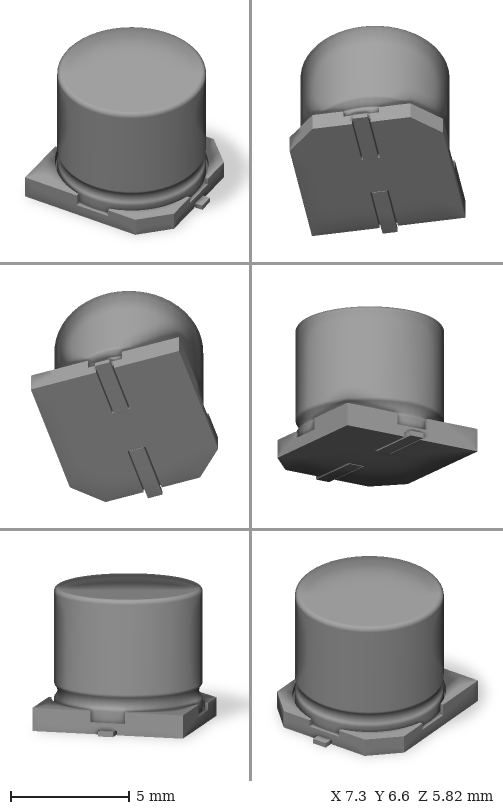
import cadquery as cq
import math


lead_span = 7.3
total_height = 5.82

base_size = 6.6
base_bottom = 0.02
base_top = 1.02
base_low_top = 0.82
corner_chamfer = 1.2
pocket_radius = 3.255
pocket_floor = 0.52
notch_width = 1.52

can_radius = 3.15
can_edge_radius = 0.2
crimp_radius = 0.34
crimp_middle = 1.365
crimp_half_height = 0.37

lead_width = 0.65
lead_top = 0.22
lead_length = 2.6
lead_slot_width = 0.8

half_base = base_size / 2


def box(x_min, x_max, width, z_min, z_max):
    """Box between two X positions, centred on Y, between two heights."""
    size = (x_max - x_min, width, z_max - z_min)
    return cq.Workplane("XY").box(*size, centered=(False, True, False)).translate((x_min, 0, z_min))


def make_base():
    tall_half = box(-half_base, 0, base_size, base_bottom, base_top)
    low_half = box(0, half_base, base_size, base_bottom, base_low_top)
    low_half = low_half.edges("|Z and >X").chamfer(corner_chamfer)
    base = tall_half.union(low_half)

    pocket_height = base_top - pocket_floor
    pocket = cq.Workplane("XY").workplane(offset=pocket_floor).circle(pocket_radius).extrude(pocket_height)
    notch = box(-half_base, half_base, notch_width, pocket_floor, base_top)
    cross_notch = notch.rotate((0, 0, 0), (0, 0, 1), 90)
    return base.cut(pocket).cut(notch).cut(cross_notch)


def make_can():
    """Revolved can whose crimp is a concave arc tangent to a convex lip above and below."""
    centre_distance = can_edge_radius + crimp_radius
    tangent_angle = math.asin(crimp_half_height / centre_distance)
    crimp_depth = centre_distance * (1 - math.cos(tangent_angle))
    waist_radius = can_radius - crimp_depth

    def lip_point(angle, side):
        """Point on a lip; the side is 1 above the waist and -1 below it."""
        radius = can_radius - can_edge_radius * (1 - math.cos(angle))
        rise = crimp_half_height - can_edge_radius * math.sin(angle)
        return radius, crimp_middle + side * rise

    profile = (
        cq.Workplane("XZ")
        .moveTo(0, pocket_floor)
        .lineTo(can_radius, pocket_floor)
        .lineTo(*lip_point(0, -1))
        .threePointArc(lip_point(tangent_angle / 2, -1), lip_point(tangent_angle, -1))
        .threePointArc((waist_radius, crimp_middle), lip_point(tangent_angle, 1))
        .threePointArc(lip_point(tangent_angle / 2, 1), lip_point(0, 1))
        .lineTo(can_radius, total_height)
        .lineTo(0, total_height)
        .close()
    )
    can = profile.revolve(360, (0, 0, 0), (0, 1, 0))
    return can.faces(">Z").edges().fillet(can_edge_radius)


result = make_base().union(make_can())

lead_outer = lead_span / 2
lead_inner = lead_outer - lead_length
for turn in (0, 180):
    slot = box(lead_inner, half_base, lead_slot_width, base_bottom, lead_top)
    lead = box(lead_inner, lead_outer, lead_width, 0, lead_top)
    result = result.cut(slot.rotate((0, 0, 0), (0, 0, 1), turn))
    result = result.union(lead.rotate((0, 0, 0), (0, 0, 1), turn))